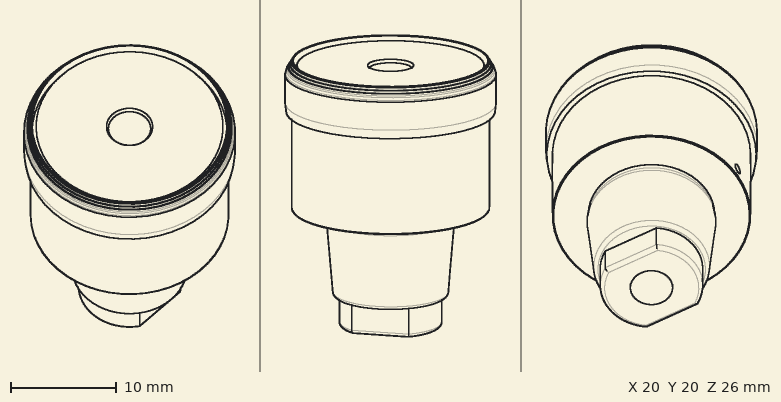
import cadquery as cq
import math

TAPER_BOTTOM = 2.97
TAPER_TOP = 10.47
NECK_BOTTOM = 11.0
BARREL_BOTTOM = 11.45
RING_BOTTOM = 21.02
RING_SKIRT_TOP = 21.9
SHOULDER_BOTTOM = 24.62
SHOULDER_TOP = 24.8
RIM_BASE = 25.05
RING_TOP = 25.95
CORE_TOP = 25.52

BARREL_R = 9.38
BARREL_CHAMFER = 0.1
SEAT_R = 9.23
SEAT_TAPER_WIDTH = 0.38
SEAT_TAPER_HEIGHT = 0.8
NECK_R = 6.0
TAPER_TOP_R = 6.1
TAPER_BOTTOM_R = 5.46
TAPER_FILLET = 0.4
SPINDLE_R = 4.86
SPINDLE_FILLET = 0.4
FLAT_SPACING = 7.96
FLAT_ANGLE = 30.0
BORE_R = 2.0
BORE_MOUTH_R = 2.18
BORE_MOUTH_DEPTH = 0.3
DIMPLE_D = 1.0
DIMPLE_DEPTH = 0.35
DIMPLE_Z = 12.67
DIMPLE_ANGLE = FLAT_ANGLE + 90.0

RING_R = 10.01
RING_BOTTOM_R = 9.91
SHOULDER_R = 9.95
RIM_R = 9.33
RIM_BASE_R = 9.88
GROOVE_COUNT = 3
GROOVE_PITCH = 0.26
GROOVE_WIDTH = 0.15
GROOVE_DEPTH = 0.06
FIRST_GROOVE_DROP = 0.16


def revolved(outline):
    """Turn a closed outline of (radius, height) around Z."""
    return outline.close().revolve(360, (0, 0, 0), (0, 1, 0))


def rim_radius(z):
    """Radius of the grooved cone under the rim at a height."""
    rise = (z - RIM_BASE) / (RING_TOP - RIM_BASE)
    return RIM_BASE_R + rise * (RIM_R - RIM_BASE_R)


def rim_groove(z):
    """Cutter for one sawtooth groove in the rim cone, flat on its upper side."""
    upper = z + GROOVE_WIDTH / 2
    lower = z - GROOVE_WIDTH / 2
    return revolved(
        cq.Workplane("XZ")
        .moveTo(rim_radius(upper), upper)
        .lineTo(rim_radius(upper) - GROOVE_DEPTH, upper)
        .lineTo(rim_radius(lower), lower)
        .lineTo(RING_R, lower)
        .lineTo(RING_R, upper)
    )


def make_ring():
    """Collar around the core's upper end, with fine grooves around its rim."""
    body = revolved(
        cq.Workplane("XZ")
        .moveTo(SEAT_R, RING_BOTTOM)
        .lineTo(RING_BOTTOM_R, RING_BOTTOM)
        .lineTo(RING_R, RING_SKIRT_TOP)
        .lineTo(RING_R, SHOULDER_BOTTOM)
        .lineTo(SHOULDER_R, SHOULDER_TOP)
        .lineTo(RIM_BASE_R, RIM_BASE)
        .lineTo(RIM_R, RING_TOP)
        .lineTo(SEAT_R, RING_TOP)
    )
    for i in range(GROOVE_COUNT):
        body = body.cut(rim_groove(RING_TOP - FIRST_GROOVE_DROP - i * GROOVE_PITCH))
    return body


def make_spindle():
    """Round end piece with two parallel wrench flats and a rounded tip."""
    flats = (
        cq.Workplane("XY")
        .rect(FLAT_SPACING, 2 * SPINDLE_R)
        .extrude(TAPER_BOTTOM)
        .rotate((0, 0, 0), (0, 0, 1), FLAT_ANGLE)
    )
    spindle = cq.Workplane("XY").circle(SPINDLE_R).extrude(TAPER_BOTTOM).intersect(flats)
    return spindle.faces("<Z").edges().fillet(SPINDLE_FILLET)


def make_dimple():
    """Cutter for the conical dimple in the side of the barrel."""
    angle = math.radians(DIMPLE_ANGLE)
    inward = cq.Vector(-math.cos(angle), -math.sin(angle), 0)
    tip = inward * (DIMPLE_DEPTH - BARREL_R) + cq.Vector(0, 0, DIMPLE_Z)
    cone = cq.Solid.makeCone(0, DIMPLE_D, 2 * DIMPLE_DEPTH, tip, inward * -1)
    return cq.Workplane(obj=cone)


def make_bore():
    """Cutter for the through bore with its countersunk mouth at the top."""
    return revolved(
        cq.Workplane("XZ")
        .lineTo(BORE_R, 0)
        .lineTo(BORE_R, CORE_TOP - BORE_MOUTH_DEPTH)
        .lineTo(BORE_MOUTH_R, CORE_TOP)
        .lineTo(0, CORE_TOP)
    )


def make_core():
    """Barrel, neck, taper and spindle, bored through along Z."""
    turned = revolved(
        cq.Workplane("XZ")
        .moveTo(0, TAPER_BOTTOM)
        .lineTo(TAPER_BOTTOM_R, TAPER_BOTTOM)
        .lineTo(TAPER_TOP_R, TAPER_TOP)
        .lineTo(NECK_R, NECK_BOTTOM)
        .lineTo(NECK_R, BARREL_BOTTOM)
        .lineTo(BARREL_R - BARREL_CHAMFER, BARREL_BOTTOM)
        .lineTo(BARREL_R, BARREL_BOTTOM + BARREL_CHAMFER)
        .lineTo(BARREL_R, RING_BOTTOM)
        .lineTo(SEAT_R, RING_BOTTOM)
        .lineTo(SEAT_R, CORE_TOP - SEAT_TAPER_HEIGHT)
        .lineTo(SEAT_R - SEAT_TAPER_WIDTH, CORE_TOP)
        .lineTo(0, CORE_TOP)
    )
    turned = turned.faces("<Z").edges().fillet(TAPER_FILLET)
    return turned.union(make_spindle()).cut(make_bore()).cut(make_dimple())


core = make_core()
ring = make_ring()

result = cq.Compound.makeCompound([core.val(), ring.val()])